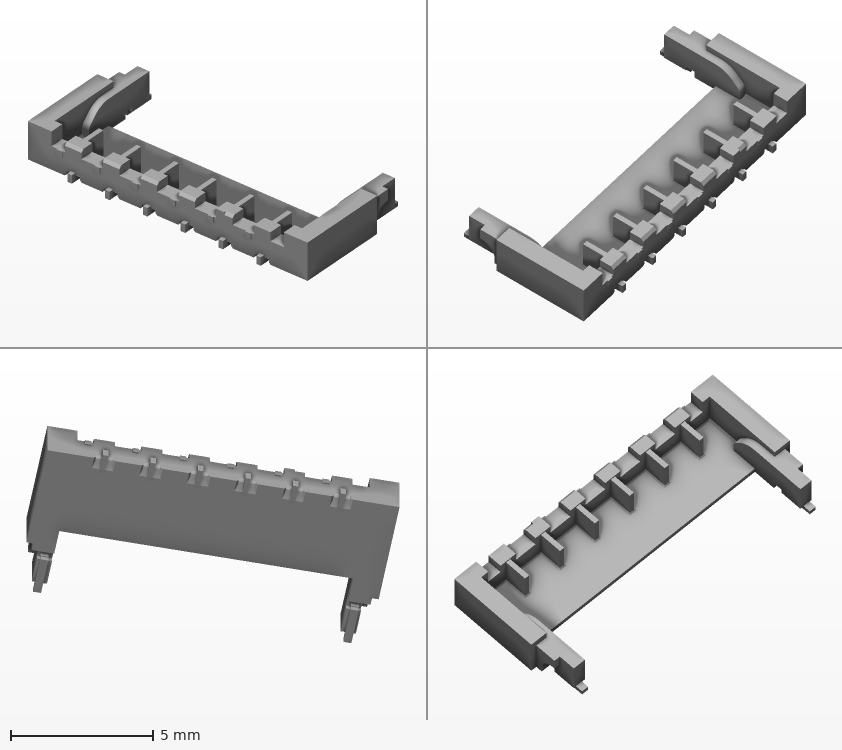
import cadquery as cq
import math

housing_width = 12.6
housing_height = 1.6
arm_length = 3.9
arm_thickness = 0.73
front_wall_thickness = 0.6
floor_depth = 3.23
floor_thickness = 0.2
floor_bevel = 0.05
arm_foot_bevel = 0.08
arm_inner_x = housing_width / 2 - arm_thickness

contact_count = 6
contact_pitch = 1.7
contact_width = 0.2
blade_back_y = 1.56
blade_top_z = 1.3
foot_back_y = 0.43
foot_front_y = -0.2
foot_top_z = 0.3
seat_z = -0.05

gap_floor_z = 0.98
gap_end_x = housing_width / 2 - 1.07
post_width = 0.74
post_top_z = 1.36
post_bevel = 0.11
bevelled_posts = 4

bump_width = 0.24
bump_height = 0.24
bump_depth = 0.05
bump_offset = -0.59

relief_width = 0.6
relief_flare = 0.08
relief_height = 0.19

clip_outer_x = housing_width / 2 - 0.24
clip_step_x = housing_width / 2 - 0.5
clip_inner_x = housing_width / 2 - 1.05
clip_back_y = 5.53
clip_step_y = 4.83
clip_anchor_y = 3.3
clip_top_z = 1.32
clip_underside_z = 0.11
clip_notch_front_y = 4.18
clip_notch_back_y = 4.56
clip_notch_z = 0.3
cutaway_top_z = 0.86
clip_curve_start_y = 3.25
clip_curve_radius = 1.08
clip_slope_angle = math.radians(45)
clip_nose_y = 2.14
clip_nose_radius = 0.3
tail_inner_x = housing_width / 2 - 0.9
tail_outer_x = housing_width / 2 - 0.6
tail_root_front_y = 4.44
tail_front_y = 4.47
tail_back_y = 5.85
tail_top_z = 0.14

contact_positions = [(i - (contact_count - 1) / 2) * contact_pitch for i in range(contact_count)]


def block(x0, x1, y0, y1, z0, z1):
    """Box spanning the given coordinates."""
    return cq.Workplane("XY").box(x1 - x0, y1 - y0, z1 - z0, centered=False).translate((x0, y0, z0))


def centred_block(x, width, y0, y1, z0, z1):
    """Box centred on x."""
    return block(x - width / 2, x + width / 2, y0, y1, z0, z1)


def bevel_strip(plane, origin, size, length):
    """Triangular 45 degree strip resting on the floor, extruded from the origin."""
    return (
        cq.Workplane(plane, origin=origin)
        .polyline([(0, 0), (size, 0), (0, size)])
        .close()
        .extrude(length)
    )


def raised_base(x):
    """Tapered step on the floor around a contact blade, sloping out at 45 degrees."""
    half_top = contact_width / 2
    half_bottom = half_top + floor_bevel
    base_top_z = floor_thickness + floor_bevel
    base_back_y = blade_back_y + floor_bevel
    across = (
        cq.Workplane("XZ", origin=(x, 0, 0))
        .polyline([
            (-half_bottom, 0),
            (-half_bottom, floor_thickness),
            (-half_top, base_top_z),
            (half_top, base_top_z),
            (half_bottom, floor_thickness),
            (half_bottom, 0),
        ])
        .close()
        .extrude(-base_back_y)
    )
    along = (
        cq.Workplane("YZ", origin=(x, 0, 0))
        .polyline([
            (foot_back_y, 0),
            (foot_back_y, base_top_z),
            (blade_back_y, base_top_z),
            (base_back_y, floor_thickness),
            (base_back_y, 0),
        ])
        .close()
        .extrude(half_bottom, both=True)
    )
    return across.intersect(along)


def make_floor():
    """Floor plate with a 45 degree bevel where it meets the front wall and arms."""
    floor = centred_block(0, housing_width, 0, floor_depth, 0, floor_thickness)
    wall_start = (-arm_inner_x, front_wall_thickness, floor_thickness)
    wall_bevel = bevel_strip("YZ", wall_start, floor_bevel, 2 * arm_inner_x)
    arm_bevel = bevel_strip("XZ", (-arm_inner_x, 0, floor_thickness), arm_foot_bevel, -clip_nose_y)
    return floor.union(wall_bevel).union(arm_bevel).union(arm_bevel.mirror("YZ"))


def make_front_wall():
    """Front wall with a bevelled post in front of each contact."""
    wall = centred_block(0, housing_width, 0, front_wall_thickness, 0, housing_height)
    wall = wall.cut(centred_block(0, 2 * gap_end_x, 0, front_wall_thickness, gap_floor_z, housing_height))
    bevel_profile = [(0, post_top_z), (post_bevel, post_top_z), (0, post_top_z - post_bevel)]
    for i, x in enumerate(contact_positions):
        wall = wall.union(centred_block(x, post_width, 0, front_wall_thickness, gap_floor_z, post_top_z))
        if i > bevelled_posts:
            continue
        bevel_start = x if i == bevelled_posts else x - post_width / 2
        bevel = (
            cq.Workplane("YZ", origin=(bevel_start, 0, 0))
            .polyline(bevel_profile)
            .close()
            .extrude(x + post_width / 2 - bevel_start)
        )
        wall = wall.cut(bevel)
    return wall


def make_relief(x):
    """Cutter for the flared relief whose ceiling runs down to the underside."""
    half = relief_width / 2
    opening = (
        cq.Workplane("XZ", origin=(x, 0, 0))
        .polyline([
            (-half - relief_flare, 0),
            (-half, relief_flare),
            (-half, relief_height),
            (half, relief_height),
            (half, relief_flare),
            (half + relief_flare, 0),
        ])
        .close()
        .extrude(-foot_back_y)
    )
    ramp = (
        cq.Workplane("YZ", origin=(x, 0, 0))
        .polyline([
            (0, 0),
            (0, relief_height),
            (relief_flare, relief_height - relief_flare),
            (foot_back_y, 0),
        ])
        .close()
        .extrude(relief_width, both=True)
    )
    return opening.intersect(ramp)


def make_contact(x):
    """Upright contact blade with its sloped base and solder foot."""
    blade = centred_block(x, contact_width, foot_back_y, blade_back_y, 0, blade_top_z)
    foot = centred_block(x, contact_width, foot_front_y, foot_back_y, seat_z, foot_top_z)
    return blade.union(raised_base(x)).union(foot)


def make_clip():
    """Right-hand retention clip: a curved plate, a thicker outer layer and a solder tail."""
    slope_start_y = clip_curve_start_y - clip_curve_radius * math.sin(clip_slope_angle)
    slope_start_z = clip_top_z - clip_curve_radius * (1 - math.cos(clip_slope_angle))
    curve_mid_y = clip_curve_start_y - clip_curve_radius * math.sin(clip_slope_angle / 2)
    curve_mid_z = clip_top_z - clip_curve_radius * (1 - math.cos(clip_slope_angle / 2))
    slope_end_y = clip_nose_y + clip_nose_radius * (1 - math.sin(clip_slope_angle))
    slope_end_z = slope_start_z - (slope_start_y - slope_end_y) * math.tan(clip_slope_angle)
    nose_end_z = slope_end_z - clip_nose_radius * math.cos(clip_slope_angle)
    plate = (
        cq.Workplane("YZ", origin=(clip_inner_x, 0, 0))
        .moveTo(clip_nose_y, 0)
        .lineTo(clip_notch_front_y, 0)
        .lineTo(clip_notch_front_y, clip_notch_z)
        .lineTo(clip_notch_back_y, clip_notch_z)
        .lineTo(clip_notch_back_y, clip_underside_z)
        .lineTo(clip_back_y, clip_underside_z)
        .lineTo(clip_back_y, clip_top_z)
        .lineTo(clip_curve_start_y, clip_top_z)
        .threePointArc((curve_mid_y, curve_mid_z), (slope_start_y, slope_start_z))
        .lineTo(slope_end_y, slope_end_z)
        .tangentArcPoint((clip_nose_y, nose_end_z), relative=False)
        .close()
        .extrude(clip_step_x - clip_inner_x)
    )
    cutaway_mid_y = clip_step_y - (clip_step_y - clip_notch_front_y) * math.cos(math.pi / 4)
    cutaway_mid_z = clip_notch_z + (cutaway_top_z - clip_notch_z) * math.sin(math.pi / 4)
    thick_layer = (
        cq.Workplane("YZ", origin=(clip_step_x, 0, 0))
        .moveTo(clip_anchor_y, 0)
        .lineTo(clip_notch_front_y, 0)
        .lineTo(clip_notch_front_y, clip_notch_z)
        .threePointArc((cutaway_mid_y, cutaway_mid_z), (clip_step_y, cutaway_top_z))
        .lineTo(clip_step_y, clip_top_z)
        .lineTo(clip_anchor_y, clip_top_z)
        .close()
        .extrude(clip_outer_x - clip_step_x)
    )
    tail = block(tail_inner_x, tail_outer_x, tail_front_y, tail_back_y, seat_z, tail_top_z)
    tail_root = block(
        tail_inner_x, tail_outer_x, tail_root_front_y, clip_notch_back_y, tail_top_z, clip_notch_z
    )
    return plate.union(thick_layer).union(tail).union(tail_root)


arm = block(arm_inner_x, housing_width / 2, 0, arm_length, 0, housing_height)
result = make_floor().union(make_front_wall()).union(arm).union(arm.mirror("YZ"))

for contact_x in contact_positions:
    bump_x = contact_x + bump_offset
    bump = centred_block(bump_x, bump_width, -bump_depth, 0, gap_floor_z - bump_height, gap_floor_z)
    result = result.union(bump).cut(make_relief(contact_x)).union(make_contact(contact_x))

clip = make_clip()
result = result.union(clip).union(clip.mirror("YZ"))